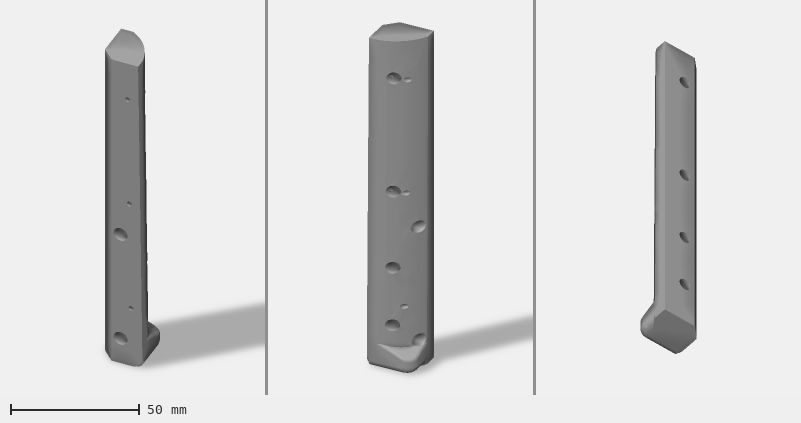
import cadquery as cq
import math

length = 144.8
depth = 20.0
top_width = 16.5
bottom_width = 18.4
bevel = 5.0

side_flat = 4.3
top_arc_mid = (12.9, 13.2)
top_back_flat = 5.2
bottom_arc_mid = (13.6, 14.0)
bottom_back_flat = 6.1

toe_height = 11.6
toe_slope = 30.0
toe_corner_radius = 4.9
toe_rim_radius = 1.5
toe_end_round = 2.9
toe_front = 0.7
end_round = 4.9

cross_hole_diameter = 5.2
cross_hole_heights = (19.5, 44.9, 78.5, 128.4)

bolt_entry_diameter = 6.0
bolt_hole_diameter = 5.2
bolt_entry_depth = depth / 2
bolt_pitch = 50.0
bolt_hole_x = 9.0
lowest_bolt_height = 11.9
bolt_hole_heights = (lowest_bolt_height, lowest_bolt_height + bolt_pitch)

pin_hole_diameter = 2.2
pin_pitch = bolt_pitch
pin_step_x = 0.7
pin_count = 3
lowest_pin = (13.5, 27.6)


def section(height, width, side_flat, arc_mid, back_flat):
    """Bevelled section whose side and back edges are joined by an arc."""
    return (
        cq.Workplane("XY", origin=(0, 0, height))
        .moveTo(0, bevel)
        .lineTo(bevel, 0)
        .lineTo(width, 0)
        .lineTo(width, side_flat)
        .threePointArc(arc_mid, (back_flat, depth))
        .lineTo(0, depth)
        .close()
        .wire()
        .val()
    )


def hole_along_y(diameter, x, z, hole_depth=depth):
    return cq.Workplane("XZ", origin=(x, 0, z)).circle(diameter / 2).extrude(-hole_depth)


def toe_section(height, width):
    """Rectangle, set in from the front face, with one rounded corner."""
    corner_inset = toe_corner_radius * (1 - 0.5**0.5)
    return (
        cq.Workplane("XY", origin=(bevel, toe_front, height))
        .lineTo(width - bevel, 0)
        .lineTo(width - bevel, depth - toe_front - toe_corner_radius)
        .threePointArc(
            (width - bevel - corner_inset, depth - toe_front - corner_inset),
            (width - bevel - toe_corner_radius, depth - toe_front),
        )
        .lineTo(0, depth - toe_front)
        .close()
        .wire()
        .val()
    )


def tapered_toe():
    """Toe that follows the taper of the side, with a sloping, soft-rimmed top."""
    width_at_toe_top = bottom_width - (bottom_width - top_width) * toe_height / length
    lower = toe_section(0, bottom_width)
    upper = toe_section(toe_height, width_at_toe_top)
    toe = cq.Workplane(cq.Solid.makeLoft([lower, upper], True))

    slope_start = cq.Vector(bottom_width, side_flat, toe_height)
    tilt = math.radians(toe_slope)
    outward = math.sin(tilt) * 0.5**0.5
    slope = cq.Plane(slope_start, normal=(outward, outward, math.cos(tilt)))
    above_slope = cq.Workplane(slope).rect(4 * depth, 4 * depth).extrude(2 * toe_height)
    toe = toe.cut(above_slope)

    toe = toe.edges("<Z").edges(">X").fillet(toe_end_round)
    rim_point = (bottom_width, depth, toe_height / 2)
    return toe.edges(cq.selectors.NearestToPointSelector(rim_point)).fillet(toe_rim_radius)


bottom_section = section(0, bottom_width, side_flat, bottom_arc_mid, bottom_back_flat)
top_section = section(length, top_width, side_flat, top_arc_mid, top_back_flat)
body = cq.Workplane(cq.Solid.makeLoft([bottom_section, top_section], True))
body = body.edges("<Z").edges(">X").fillet(end_round)
body = body.union(tapered_toe())

for height in cross_hole_heights:
    drill = cq.Workplane("YZ", origin=(0, depth / 2, height)).circle(cross_hole_diameter / 2)
    body = body.cut(drill.extrude(bottom_width))

for height in bolt_hole_heights:
    body = body.cut(hole_along_y(bolt_hole_diameter, bolt_hole_x, height))
    body = body.cut(hole_along_y(bolt_entry_diameter, bolt_hole_x, height, bolt_entry_depth))

for index in range(pin_count):
    pin_x = lowest_pin[0] - index * pin_step_x
    pin_z = lowest_pin[1] + index * pin_pitch
    body = body.cut(hole_along_y(pin_hole_diameter, pin_x, pin_z))

result = body